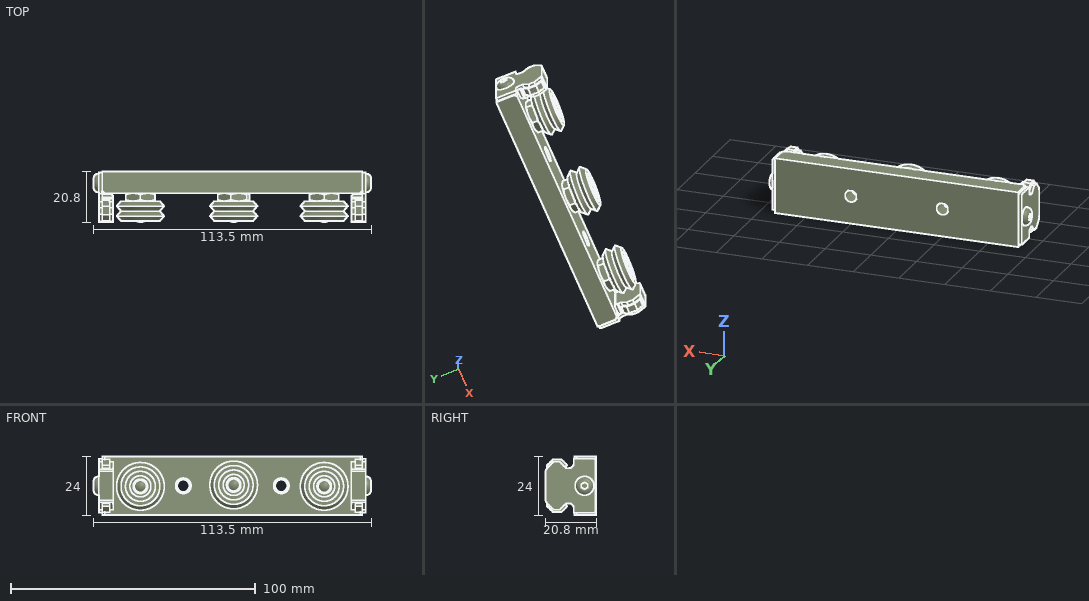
import cadquery as cq
import math


OVERALL_LENGTH = 113.5

HEX_HALF_ANGLE = 30.0

BAR_HEIGHT = 24.0
BAR_DEPTH = 9.0
BAR_END_CHAMFER = 1.0
MOUNT_HOLE_SPACING = 40.0
MOUNT_HOLE_RADIUS = 2.5
MOUNT_HOLE_CHAMFER = 0.7

SCREW_HEAD_RADIUS = 3.9
SCREW_HEAD_HEIGHT = 2.2
SCREW_FLAT_RADIUS = 2.0
SCREW_SOCKET_FLATS = 2.5
SCREW_SOCKET_DEPTH = 1.2
SCREW_Y = 4.2

PLATE_THICKNESS = 1.4
HEAD_WIDTH = 5.9
PLATE_HALF_HEIGHT = 11.1
PLATE_BACK_Y = 8.5
PLATE_CORNER_RADIUS = 0.6
PLATE_FRONT_Y = -0.2
NECK_RADIUS = 1.9
NECK_HALF_HEIGHT = 7.3
NECK_SLOPE_START_Y = -3.4
NECK_SEAT_HALF_HEIGHT = 6.9
NECK_SEAT_EDGE_Y = -1.6
NOSE_HALF_HEIGHT = 9.8
NOSE_SLOPE_START_Y = -8.5
NOSE_FRONT_Y = -11.8
NOSE_BEVEL_DEPTH = 0.3
NOSE_BEVEL_HEIGHT = 0.8
HEAD_INNER_CHAMFER = 0.8

STRIP_WIDTH = 3.1
STRIP_HALF_HEIGHT = 10.8
STRIP_BACK_Y = -5.2
STRIP_SLOPE_START_Y = -8.7
STRIP_FRONT_Y = -11.1
STRIP_TAIL_Y = -2.8
STRIP_TAIL_EDGE = 0.7

ROLLER_SPACING = 37.6
OUTER_ROLLER_Z = -0.2
MIDDLE_ROLLER_X = 0.6
MIDDLE_ROLLER_Z = 0.3
MIDDLE_HEX_TURN = 10.0
WHEEL_RADIUS = 9.8
WHEEL_SIDE_RADIUS = 7.9
WHEEL_BACK = 3.2
WHEEL_FRONT = 11.3
RIM_WIDTH = (WHEEL_FRONT - WHEEL_BACK) / 2
SHIELD_OUTER_RADIUS = 6.1
SHIELD_INNER_RADIUS = 4.3
SHIELD_DEPTH = 0.1
BORE_EDGE_RADIUS = 3.0
PIN_RADIUS = 2.5
PIN_EDGE = 10.8
PIN_TIP = 11.8
HEX_FLATS = 12.0
HEX_EDGE_ANGLE = 30.0

HEAD_OUTER_X = OVERALL_LENGTH / 2 - SCREW_HEAD_HEIGHT
BAR_LENGTH = 2 * (HEAD_OUTER_X - PLATE_THICKNESS)
HALF_ROOT = math.sqrt(0.5)


def make_bar():
    """Bar with chamfered front ends and two mounting holes countersunk at the front."""
    bar = (
        cq.Workplane("XY")
        .box(BAR_LENGTH, BAR_DEPTH, BAR_HEIGHT)
        .translate((0, BAR_DEPTH / 2, 0))
        .faces("<Y")
        .edges("|Z")
        .chamfer(BAR_END_CHAMFER)
    )
    for side in (-1, 1):
        hole_x = side * MOUNT_HOLE_SPACING / 2
        hole = (
            cq.Workplane("XZ", origin=(hole_x, BAR_DEPTH, 0))
            .circle(MOUNT_HOLE_RADIUS)
            .extrude(BAR_DEPTH)
            .faces("<Y")
            .workplane()
            .circle(MOUNT_HOLE_RADIUS + MOUNT_HOLE_CHAMFER)
            .workplane(offset=-MOUNT_HOLE_CHAMFER)
            .circle(MOUNT_HOLE_RADIUS)
            .loft()
        )
        bar = bar.cut(hole)
    return bar


def head_outline():
    """Upper half of the wiper head in the YZ plane, closed along Z = 0."""
    neck_y = PLATE_FRONT_Y - NECK_RADIUS
    neck_centre_z = NECK_HALF_HEIGHT + NECK_RADIUS
    arc_mid = (neck_y + NECK_RADIUS * HALF_ROOT, neck_centre_z - NECK_RADIUS * HALF_ROOT)
    slope_top_y = NECK_SLOPE_START_Y - (NOSE_HALF_HEIGHT - NECK_HALF_HEIGHT)
    bevel_y = NOSE_FRONT_Y + NOSE_BEVEL_DEPTH
    bevel_z = NOSE_HALF_HEIGHT - (NOSE_SLOPE_START_Y - bevel_y)
    return (
        cq.Workplane("YZ")
        .moveTo(PLATE_BACK_Y, 0)
        .lineTo(PLATE_BACK_Y, PLATE_HALF_HEIGHT)
        .lineTo(PLATE_FRONT_Y, PLATE_HALF_HEIGHT)
        .lineTo(PLATE_FRONT_Y, neck_centre_z)
        .threePointArc(arc_mid, (neck_y, NECK_HALF_HEIGHT))
        .lineTo(NECK_SLOPE_START_Y, NECK_HALF_HEIGHT)
        .lineTo(slope_top_y, NOSE_HALF_HEIGHT)
        .lineTo(NOSE_SLOPE_START_Y, NOSE_HALF_HEIGHT)
        .lineTo(bevel_y, bevel_z)
        .lineTo(NOSE_FRONT_Y, bevel_z - NOSE_BEVEL_HEIGHT)
        .lineTo(NOSE_FRONT_Y, 0)
        .close()
    )


def neck_seat_outline():
    """Space above the lowered seat that the neck has next to the bar, in the YZ plane."""
    return (
        cq.Workplane("YZ")
        .moveTo(PLATE_FRONT_Y, NECK_SEAT_HALF_HEIGHT)
        .lineTo(NECK_SEAT_EDGE_Y, NECK_SEAT_HALF_HEIGHT)
        .lineTo(PLATE_FRONT_Y - NECK_RADIUS, NECK_HALF_HEIGHT)
        .lineTo(PLATE_FRONT_Y - NECK_RADIUS, PLATE_HALF_HEIGHT)
        .lineTo(PLATE_FRONT_Y, PLATE_HALF_HEIGHT)
        .close()
    )


def strip_outline():
    """Upper half of the sealing strip in the YZ plane, closed along Z = 0."""
    tail_z = STRIP_HALF_HEIGHT - (STRIP_TAIL_Y - STRIP_BACK_Y)
    tail_step = STRIP_TAIL_EDGE
    front_z = STRIP_HALF_HEIGHT - (STRIP_SLOPE_START_Y - STRIP_FRONT_Y)
    return (
        cq.Workplane("YZ")
        .moveTo(STRIP_TAIL_Y - tail_step, 0)
        .lineTo(STRIP_TAIL_Y - tail_step, tail_z - tail_step)
        .lineTo(STRIP_TAIL_Y, tail_z)
        .lineTo(STRIP_BACK_Y, STRIP_HALF_HEIGHT)
        .lineTo(STRIP_SLOPE_START_Y, STRIP_HALF_HEIGHT)
        .lineTo(STRIP_FRONT_Y, front_z)
        .lineTo(STRIP_FRONT_Y, 0)
        .close()
    )


def make_screw_head():
    """Button head on the outer face of the plate, with its axis along -X."""
    dome_mid_radius = SCREW_FLAT_RADIUS + (SCREW_HEAD_RADIUS - SCREW_FLAT_RADIUS) * HALF_ROOT
    socket_diameter = SCREW_SOCKET_FLATS / math.cos(math.radians(HEX_HALF_ANGLE))
    dome = (
        cq.Workplane("XY")
        .lineTo(0, SCREW_HEAD_RADIUS)
        .threePointArc(
            (-SCREW_HEAD_HEIGHT * HALF_ROOT, dome_mid_radius),
            (-SCREW_HEAD_HEIGHT, SCREW_FLAT_RADIUS),
        )
        .lineTo(-SCREW_HEAD_HEIGHT, 0)
        .close()
        .revolve(360, (0, 0, 0), (1, 0, 0))
    )
    socket = (
        cq.Workplane("YZ", origin=(-SCREW_HEAD_HEIGHT, 0, 0))
        .transformed(rotate=(0, 0, 90))
        .polygon(6, socket_diameter)
        .extrude(SCREW_SOCKET_DEPTH)
    )
    return dome.cut(socket).translate((-HEAD_OUTER_X, SCREW_Y, 0))


def make_left_wiper():
    """Wiper head at the -X end, in one piece with the screw that holds it."""
    half = head_outline().extrude(HEAD_WIDTH)
    head = half.union(half.mirror("XY"))
    head = head.edges("|X and >Y").fillet(PLATE_CORNER_RADIUS)

    bar_space = cq.Workplane("XY").box(
        HEAD_WIDTH, BAR_DEPTH - PLATE_FRONT_Y, BAR_HEIGHT, centered=(False, False, True)
    )
    head = head.cut(bar_space.translate((PLATE_THICKNESS, PLATE_FRONT_Y, 0)))
    seat_space = neck_seat_outline().extrude(HEAD_WIDTH).translate((PLATE_THICKNESS, 0, 0))
    head = head.cut(seat_space).cut(seat_space.mirror("XY"))
    head = head.faces(">X").edges(">Y").chamfer(HEAD_INNER_CHAMFER)

    half_strip = strip_outline().extrude(STRIP_WIDTH).translate((PLATE_THICKNESS, 0, 0))
    head = head.union(half_strip).union(half_strip.mirror("XY"))
    return head.translate((-HEAD_OUTER_X, 0, 0)).union(make_screw_head())


def make_wheel():
    """Double V wheel with its bearing, around the Y axis and with a bore for the pin."""
    wheel = (
        cq.Workplane("XY")
        .moveTo(PIN_RADIUS, -WHEEL_BACK)
        .lineTo(WHEEL_SIDE_RADIUS, -WHEEL_BACK)
        .lineTo(WHEEL_RADIUS, -WHEEL_BACK - RIM_WIDTH / 2)
        .lineTo(WHEEL_SIDE_RADIUS, -WHEEL_BACK - RIM_WIDTH)
        .lineTo(WHEEL_RADIUS, -WHEEL_BACK - RIM_WIDTH - RIM_WIDTH / 2)
        .lineTo(WHEEL_SIDE_RADIUS, -WHEEL_FRONT)
        .lineTo(BORE_EDGE_RADIUS, -WHEEL_FRONT)
        .lineTo(PIN_RADIUS, -PIN_EDGE)
        .close()
        .revolve(360, (0, 0, 0), (0, 1, 0))
    )
    shield_recess = (
        cq.Workplane("XZ", origin=(0, -WHEEL_FRONT, 0))
        .circle(SHIELD_OUTER_RADIUS)
        .circle(SHIELD_INNER_RADIUS)
        .extrude(-SHIELD_DEPTH)
    )
    return wheel.cut(shield_recess)


def make_stud():
    """Hexagonal collar and round-ended pin, with a hexagon corner pointing to +Z."""
    corner_radius = HEX_FLATS / 2 / math.cos(math.radians(HEX_HALF_ANGLE))
    edge_drop = (corner_radius - HEX_FLATS / 2) * math.tan(math.radians(HEX_EDGE_ANGLE))
    collar = (
        cq.Workplane("XZ")
        .transformed(rotate=(0, 0, 90))
        .polygon(6, 2 * corner_radius)
        .extrude(WHEEL_BACK)
    )
    blank = (
        cq.Workplane("XY")
        .lineTo(HEX_FLATS / 2, 0)
        .lineTo(corner_radius, -edge_drop)
        .lineTo(corner_radius, edge_drop - WHEEL_BACK)
        .lineTo(HEX_FLATS / 2, -WHEEL_BACK)
        .lineTo(0, -WHEEL_BACK)
        .close()
        .revolve(360, (0, 0, 0), (0, 1, 0))
    )
    tip_height = PIN_TIP - PIN_EDGE
    tip_radius = (PIN_RADIUS**2 + tip_height**2) / (2 * tip_height)
    tip_mid_radius = PIN_RADIUS / 2
    tip_mid = PIN_TIP - tip_radius + math.sqrt(tip_radius**2 - tip_mid_radius**2)
    pin = (
        cq.Workplane("XY")
        .lineTo(PIN_RADIUS, 0)
        .lineTo(PIN_RADIUS, -PIN_EDGE)
        .threePointArc((tip_mid_radius, -tip_mid), (0, -PIN_TIP))
        .close()
        .revolve(360, (0, 0, 0), (0, 1, 0))
    )
    return collar.intersect(blank).union(pin)


bar = make_bar()

left_wiper = make_left_wiper()
wipers = [left_wiper, left_wiper.mirror("YZ")]

outer_rollers = []
for side in (-1, 1):
    roller = make_wheel().union(make_stud())
    outer_rollers.append(roller.translate((side * ROLLER_SPACING, 0, OUTER_ROLLER_Z)))

middle_place = (MIDDLE_ROLLER_X, 0, MIDDLE_ROLLER_Z)
middle_wheel = make_wheel().translate(middle_place)
eccentric_stud = make_stud().rotate((0, 0, 0), (0, 1, 0), -MIDDLE_HEX_TURN).translate(middle_place)

bodies = [bar, *wipers, *outer_rollers, middle_wheel, eccentric_stud]
result = cq.Compound.makeCompound([body.solids().val() for body in bodies])